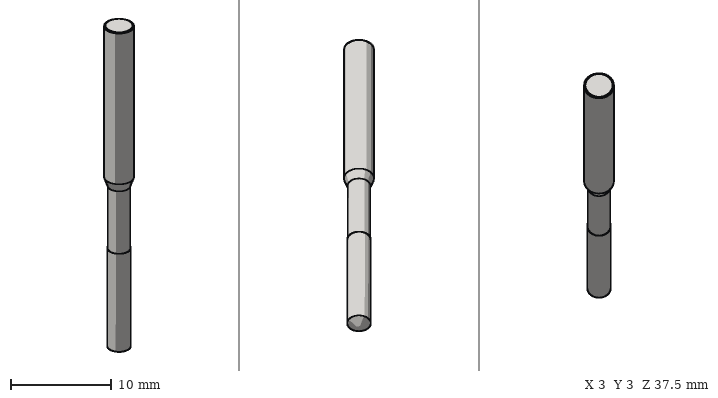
import cadquery as cq

total_length = 37.5
shank_diameter = 3.0
neck_diameter = 2.3
head_diameter = 2.35

tip_height = 0.7
head_top = 11.95
neck_top = 19.12
shank_bottom = 20.15

bevel_width = 0.15
bevel_height = 0.08

shank_radius = shank_diameter / 2
neck_radius = neck_diameter / 2
head_radius = head_diameter / 2
tip_z = -total_length / 2


def revolve_profile(points):
    """Turn a half outline of (radius, height above tip) points about the Z axis."""
    outline = cq.Workplane("XZ", origin=(0, 0, tip_z)).polyline(points).close()
    return outline.revolve(360, (0, 0, 0), (0, 1, 0))


def make_holder():
    """Shank with a bevelled top and a cone leading down to the slimmer neck."""
    return revolve_profile([
        (0, head_top),
        (neck_radius, head_top),
        (neck_radius, neck_top),
        (shank_radius, shank_bottom),
        (shank_radius, total_length - bevel_height),
        (shank_radius - bevel_width, total_length),
        (0, total_length),
    ])


def make_cutting_head():
    """Cylinder with a conical point, seated against the bottom of the neck."""
    return revolve_profile([
        (0, 0),
        (head_radius, tip_height),
        (head_radius, head_top),
        (0, head_top),
    ])


holder = make_holder()
cutting_head = make_cutting_head()

result = cq.Compound.makeCompound([holder.val(), cutting_head.val()])